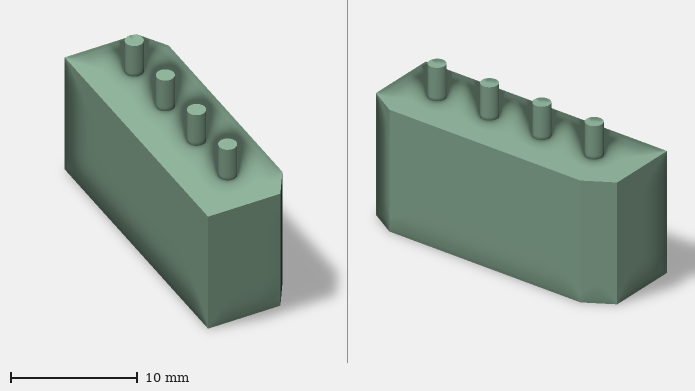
import cadquery as cq

body_length = 24.0
body_depth = 8.0
body_height = 11.0
corner_cut_x = 2.5
corner_cut_y = 1.5

pin_count = 4
pin_pitch = 5.2
pin_diameter = 1.5
pin_height = 3.0


def make_body():
    """Block centred in X and Y, resting on Z = 0."""
    half_length = body_length / 2
    half_depth = body_depth / 2
    outline = [
        (-half_length, -half_depth),
        (half_length, -half_depth),
        (half_length, half_depth - corner_cut_y),
        (half_length - corner_cut_x, half_depth),
        (-half_length + corner_cut_x, half_depth),
        (-half_length, half_depth - corner_cut_y),
    ]
    return cq.Workplane("XY").polyline(outline).close().extrude(body_height)


def make_pins():
    """Evenly spaced pins along the centre line of the top face."""
    return (
        cq.Workplane("XY", origin=(0, 0, body_height))
        .rarray(pin_pitch, 0.25, pin_count, 1)
        .circle(pin_diameter / 2)
        .extrude(pin_height)
    )


result = make_body().union(make_pins())